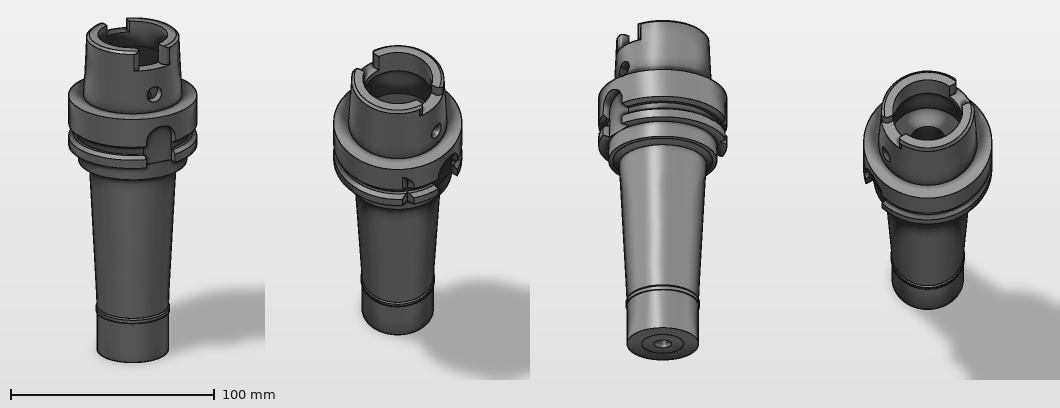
import cadquery as cq
import math


total_height = 167.0
face_z = 135.0
shank_base_dia = 48.5
shank_tip_dia = 45.5
tip_dia = 42.8
tip_bevel_height = 1.2
mouth_dia = 34.0
mouth_depth = 13.2
undercut_dia = 38.7
cross_hole_dia = 7.8
cross_hole_z = face_z + 9.0

drive_slot_width = 12.4
shallow_slot_depth = 5.7
deep_slot_depth = 9.9
slot_corner_radius = 2.5

flange_dia = 63.0
flange_bottom_z = face_z - 26.0
groove_dia = 55.3
groove_mid_z = face_z - 18.2
groove_width = 3.8
groove_mouth_width = 6.8
groove_bevel_dia = 58.5

collar_dia = 53.1
notch_width = 15.7
notch_top_z = face_z - 5.0
side_notch_floor_x = -20.4
side_notch_y = 27.7

collar_bottom_z = face_z - 34.2
collar_neck_dia = 48.8
body_top_z = face_z - 36.2
body_top_dia = 42.8
body_bottom_dia = 35.0
body_bottom_z = 23.5
nose_dia = 28.2

nut_top_z = 22.7
nut_dia = 35.0
rim_dia = 36.0
rim_bottom_z = 20.9
nut_lip_thickness = 5.0

collet_top_z = 34.0
collet_top_dia = 18.0
collet_bore_dia = 8.5
collet_half_angle = 8.0
collet_front_angle = 30.0

collet_wide_radius = collet_top_dia / 2 + (collet_top_z - nut_lip_thickness) * math.tan(
    math.radians(collet_half_angle))
collet_front_radius = collet_wide_radius - nut_lip_thickness * math.tan(
    math.radians(collet_front_angle))


def revolve_profile(points):
    """Turn a closed (radius, z) outline about the Z axis."""
    return cq.Workplane("XZ").polyline(points).close().revolve(360, (0, 0), (0, 1))


def cylinder(diameter, bottom_z, top_z):
    return cq.Workplane("XY").workplane(offset=bottom_z).circle(diameter / 2).extrude(top_z - bottom_z)


def holder_outside():
    return revolve_profile([
        (0, nut_lip_thickness),
        (nose_dia / 2, nut_lip_thickness),
        (nose_dia / 2, body_bottom_z),
        (body_bottom_dia / 2, body_bottom_z),
        (body_top_dia / 2, body_top_z),
        (collar_neck_dia / 2, collar_bottom_z),
        (collar_dia / 2, collar_bottom_z),
        (collar_dia / 2, flange_bottom_z),
        (flange_dia / 2, flange_bottom_z),
        (flange_dia / 2, groove_mid_z - groove_mouth_width / 2),
        (groove_bevel_dia / 2, groove_mid_z - groove_width / 2),
        (groove_dia / 2, groove_mid_z - groove_width / 2),
        (groove_dia / 2, groove_mid_z + groove_width / 2),
        (groove_bevel_dia / 2, groove_mid_z + groove_width / 2),
        (flange_dia / 2, groove_mid_z + groove_mouth_width / 2),
        (flange_dia / 2, face_z),
        (shank_base_dia / 2, face_z),
        (shank_tip_dia / 2, total_height - tip_bevel_height),
        (tip_dia / 2, total_height),
        (0, total_height),
    ])


def holder_bore():
    """Stepped cavity: collet socket, draw-in bore, undercut chamber and shank mouth."""
    undercut_top_z = total_height - mouth_depth
    return revolve_profile([
        (0, nut_lip_thickness),
        (collet_wide_radius, nut_lip_thickness),
        (collet_top_dia / 2, collet_top_z),
        (collet_top_dia / 2, face_z),
        (undercut_dia / 2, face_z),
        (undercut_dia / 2, undercut_top_z),
        (mouth_dia / 2, undercut_top_z),
        (mouth_dia / 2, total_height),
        (0, total_height),
    ])


def drive_slot(side, depth):
    """Slot through the shank rim; side is -1 for -X and +1 for +X.

    Its outer corners flare with arcs tangent to the slot wall and to the shank surface.
    """
    half_width = drive_slot_width / 2
    shank_radius = shank_tip_dia / 2
    centre_y = half_width + slot_corner_radius
    centre_distance = shank_radius - slot_corner_radius
    centre_x = math.sqrt(centre_distance ** 2 - centre_y ** 2)
    end_x = centre_x * shank_radius / centre_distance
    end_y = centre_y * shank_radius / centre_distance
    middle_angle = (math.atan2(centre_y, centre_x) - math.pi / 2) / 2
    middle_x = centre_x + slot_corner_radius * math.cos(middle_angle)
    middle_y = centre_y + slot_corner_radius * math.sin(middle_angle)
    outer_x = flange_dia / 2
    return (
        cq.Workplane("XY").workplane(offset=total_height - depth)
        .moveTo(0, -half_width)
        .lineTo(side * centre_x, -half_width)
        .threePointArc((side * middle_x, -middle_y), (side * end_x, -end_y))
        .lineTo(side * outer_x, -end_y)
        .lineTo(side * outer_x, end_y)
        .lineTo(side * end_x, end_y)
        .threePointArc((side * middle_x, middle_y), (side * centre_x, half_width))
        .lineTo(0, half_width)
        .close()
        .extrude(depth)
    )


def flange_notch(side, floor_x, centre_y):
    """Round-topped notch with a flat floor at floor_x, open outward and at the flange bottom."""
    radius = notch_width / 2
    arc_centre_z = notch_top_z - radius
    return (
        cq.Workplane("YZ").workplane(offset=floor_x)
        .moveTo(centre_y - radius, flange_bottom_z)
        .lineTo(centre_y - radius, arc_centre_z)
        .threePointArc((centre_y, notch_top_z), (centre_y + radius, arc_centre_z))
        .lineTo(centre_y + radius, flange_bottom_z)
        .close()
        .extrude(side * flange_dia / 2)
    )


def make_holder():
    holder = holder_outside().cut(holder_bore())
    holder = holder.cut(drive_slot(-1, shallow_slot_depth))
    holder = holder.cut(drive_slot(1, deep_slot_depth))
    for side in (-1, 1):
        holder = holder.cut(flange_notch(side, side * collar_dia / 2, 0))
    holder = holder.cut(flange_notch(-1, side_notch_floor_x, side_notch_y))
    cross_hole = (
        cq.Workplane("YZ").center(0, cross_hole_z)
        .circle(cross_hole_dia / 2).extrude(shank_base_dia / 2, both=True)
    )
    return holder.cut(cross_hole)


def make_collet():
    body = revolve_profile([
        (0, 0),
        (collet_front_radius, 0),
        (collet_wide_radius, nut_lip_thickness),
        (collet_top_dia / 2, collet_top_z),
        (0, collet_top_z),
    ])
    return body.cut(cylinder(collet_bore_dia, 0, collet_top_z))


def make_nut():
    return revolve_profile([
        (collet_front_radius, 0),
        (nut_dia / 2, 0),
        (nut_dia / 2, rim_bottom_z),
        (rim_dia / 2, rim_bottom_z),
        (rim_dia / 2, nut_top_z),
        (nose_dia / 2, nut_top_z),
        (nose_dia / 2, nut_lip_thickness),
        (collet_wide_radius, nut_lip_thickness),
    ])


holder = make_holder()
collet = make_collet()
nut = make_nut()
result = cq.Compound.makeCompound([holder.val(), collet.val(), nut.val()])